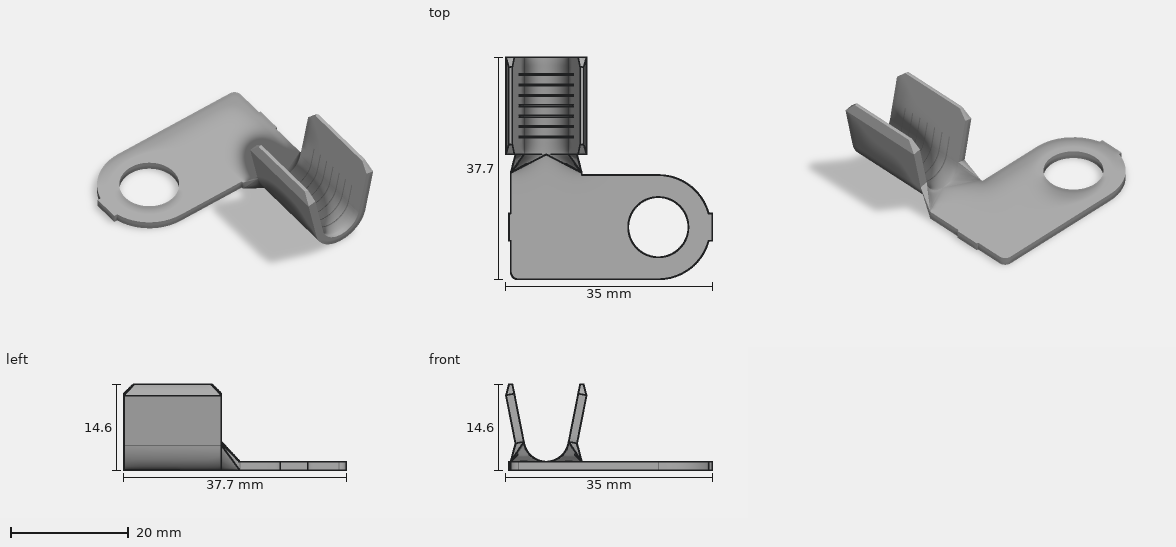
import cadquery as cq
import math


thickness = 1.47
height = 14.6

tongue_half_width = 8.85
tongue_left = -6.05
hole_x = 19.0
hole_radius = 5.1
corner_radius = 1.3

tab_width = 4.68
tab_projection = 0.3

neck_start_y = 9.2
neck_half_width = 6.05
neck_arm_rise = 0.3

barrel_start_y = 12.35
barrel_end_y = 28.85
inner_radius = 3.8
flare_angle = math.radians(11.2)
tip_outer_x = 6.35
bevel_start_z = 12.67
corner_chamfer = 1.62

groove_count = 7
groove_pitch = 1.77
groove_width = 0.25
groove_depth = 0.15
groove_half_span = 4.5

outer_radius = inner_radius + thickness
barrel_axis_z = outer_radius
bend_turn = math.pi / 2 - flare_angle
barrel_length = barrel_end_y - barrel_start_y
barrel_middle_y = (barrel_start_y + barrel_end_y) / 2


def arm_point(radius, along, side):
    """Point on an arm face `radius` from the axis, `along` the arm from where the bend ends."""
    x = radius * math.cos(flare_angle) + along * math.sin(flare_angle)
    z = barrel_axis_z - radius * math.sin(flare_angle) + along * math.cos(flare_angle)
    return side * x, z


def along_at_height(radius, z):
    """Distance along an arm face at which it reaches height z."""
    return (z - arm_point(radius, 0, 1)[1]) / math.cos(flare_angle)


def along_at_offset(radius, x):
    """Distance along an arm face at which it reaches x."""
    return (x - arm_point(radius, 0, 1)[0]) / math.sin(flare_angle)


def xz_plane(y):
    """Sketch plane facing -Y whose local axes are X and Z."""
    return cq.Workplane(cq.Plane(origin=(0, y, 0), xDir=(1, 0, 0), normal=(0, -1, 0)))


def bend_point(radius, turn):
    """Point on the bend, `turn` radians from its lowest point towards +X."""
    return radius * math.sin(turn), barrel_axis_z - radius * math.cos(turn)


def u_band(sketch, inner, outer, right_end):
    """Closed U outline between two radii; `right_end` runs from the inner face to the outer face."""
    sketch = sketch.moveTo(*bend_point(inner, -bend_turn))
    sketch = sketch.threePointArc(bend_point(inner, -bend_turn / 2), bend_point(inner, 0))
    sketch = sketch.threePointArc(bend_point(inner, bend_turn / 2), bend_point(inner, bend_turn))
    for point in right_end + [bend_point(outer, bend_turn)]:
        sketch = sketch.lineTo(*point)
    sketch = sketch.threePointArc(bend_point(outer, bend_turn / 2), bend_point(outer, 0))
    sketch = sketch.threePointArc(bend_point(outer, -bend_turn / 2), bend_point(outer, -bend_turn))
    for x, z in reversed(right_end):
        sketch = sketch.lineTo(-x, z)
    return sketch.close()


def make_tongue():
    """Flat tongue with its round end, hole and end tabs."""
    bar_length = hole_x - tongue_left
    bar = (
        cq.Workplane("XY")
        .box(bar_length, 2 * tongue_half_width, thickness, centered=(False, True, False))
        .translate((tongue_left, 0, 0))
        .edges("|Z and <X and <Y")
        .fillet(corner_radius)
    )
    round_end = cq.Workplane("XY").center(hole_x, 0).circle(tongue_half_width).extrude(thickness)
    tab_left = tongue_left - tab_projection
    tab_right = hole_x + tongue_half_width + tab_projection
    tabs = (
        cq.Workplane("XY")
        .box(tab_right - tab_left, tab_width, thickness, centered=(False, True, False))
        .translate((tab_left, 0, 0))
    )
    hole = cq.Workplane("XY").center(hole_x, 0).circle(hole_radius).extrude(thickness)
    return bar.union(round_end).union(tabs).cut(hole)


def polygon_face(*points):
    """Flat face with the given corners."""
    return cq.Face.makeFromWires(cq.Wire.makePolygon(points, close=True))


def bend_fan(radius, apex, side):
    """Conical face joining one half of the bend at the barrel mouth to a corner of the tongue."""
    stations = [bend_point(radius, side * bend_turn * share) for share in (0, 0.5, 1)]
    points = [cq.Vector(x, barrel_start_y, z) for x, z in stations]
    arc = cq.Edge.makeThreePointArc(*points)
    return cq.occ_impl.shapes.loft(cq.Wire.assembleEdges([arc]), cq.Vertex.makeVertex(*apex), ruled=True)


def make_neck():
    """Sheet passing from flat at the tongue to the bent bottom of the barrel."""
    root = (
        cq.Workplane("XY")
        .box(2 * neck_half_width, neck_start_y, thickness, centered=(True, False, False))
    )
    faces = []
    for radius, z in ((inner_radius, thickness), (outer_radius, 0)):
        left = (-neck_half_width, neck_start_y, z)
        right = (neck_half_width, neck_start_y, z)
        faces.append(polygon_face(left, right, (0, barrel_start_y, z)))
        faces += bend_fan(radius, left, -1).Faces()
        faces += bend_fan(radius, right, 1).Faces()
    mouth_end = [arm_point(radius, neck_arm_rise, 1) for radius in (inner_radius, outer_radius)]
    for side in (-1, 1):
        top_corner = (side * neck_half_width, neck_start_y, thickness)
        bottom_corner = (side * neck_half_width, neck_start_y, 0)
        inner_tip, outer_tip = [(side * x, barrel_start_y, z) for x, z in mouth_end]
        for radius, tip, corner in (
            (inner_radius, inner_tip, top_corner),
            (outer_radius, outer_tip, bottom_corner),
        ):
            x, z = bend_point(radius, side * bend_turn)
            faces.append(polygon_face((x, barrel_start_y, z), tip, corner))
        faces.append(polygon_face(inner_tip, outer_tip, top_corner))
        faces.append(polygon_face(outer_tip, bottom_corner, top_corner))
    mouth = u_band(xz_plane(barrel_start_y), inner_radius, outer_radius, mouth_end).wires().val()
    faces.append(cq.Face.makeFromWires(mouth))
    flat_end = xz_plane(neck_start_y).center(0, thickness / 2).rect(2 * neck_half_width, thickness)
    faces.append(cq.Face.makeFromWires(flat_end.wires().val()))
    transition = cq.Solid.makeSolid(cq.Shell.makeShell(faces))
    return root.union(cq.Workplane(transition))


def make_barrel():
    """Open U barrel whose arms narrow to bevelled tips."""
    right_end = [
        arm_point(inner_radius, along_at_height(inner_radius, height), 1),
        (tip_outer_x, height),
        arm_point(outer_radius, along_at_height(outer_radius, bevel_start_z), 1),
    ]
    return u_band(xz_plane(barrel_end_y), inner_radius, outer_radius, right_end).extrude(barrel_length)


def make_corner_cutters():
    """Triangular prisms, square to each arm, that chamfer its upper corners at 45 degrees."""
    inner_along = along_at_height(inner_radius, height)
    overshoot = corner_chamfer
    cutters = cq.Workplane("XY")
    for side in (-1, 1):
        x, z = arm_point(inner_radius, inner_along, side)
        outward = (side * math.cos(flare_angle), 0, -math.sin(flare_angle))
        for end_y, inward in ((barrel_start_y, 1), (barrel_end_y, -1)):
            plane = cq.Plane(origin=(x, end_y, z), xDir=(0, inward, 0), normal=outward)
            up = 1 if plane.yDir.z > 0 else -1
            cutters = cutters.add(
                cq.Workplane(plane)
                .moveTo(-overshoot, -up * (corner_chamfer + overshoot))
                .lineTo(corner_chamfer + overshoot, up * overshoot)
                .lineTo(-overshoot, up * overshoot)
                .close()
                .extrude(2 * thickness, both=True)
            )
    return cutters.combine()


def make_grooves():
    """Shallow U bands sunk into the inside of the barrel, evenly spaced along it."""
    along = along_at_offset(inner_radius, groove_half_span)
    bottom_radius = inner_radius + groove_depth
    right_end = [arm_point(radius, along, 1) for radius in (inner_radius, bottom_radius)]
    grooves = cq.Workplane("XY")
    for index in range(groove_count):
        middle = barrel_middle_y + (index - (groove_count - 1) / 2) * groove_pitch
        sketch = xz_plane(middle + groove_width / 2)
        grooves = grooves.add(
            u_band(sketch, inner_radius, bottom_radius, right_end).extrude(groove_width)
        )
    return grooves.combine()


barrel = make_barrel().cut(make_corner_cutters()).cut(make_grooves())
result = make_tongue().union(make_neck()).union(barrel)